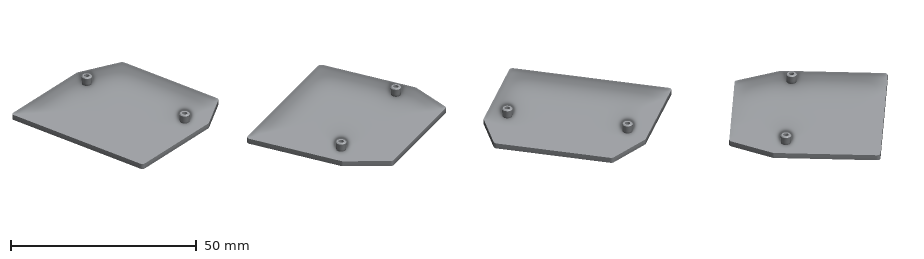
import cadquery as cq
import math

width = 45.0
depth = 41.0
plate_thickness = 1.55
slant_width = 6.08
slant_depth = 12.15
corner_radius = 1.0

total_height = 4.0
peg_height = total_height - plate_thickness
peg_spacing = 33.4
peg_from_rear = 15.3
peg_base_radius = 1.3
peg_top_radius = 1.45
peg_chamfer = 0.22
bore_radius = 0.7
bore_depth = peg_height


def make_plate():
    half_width = width / 2
    half_depth = depth / 2
    outline = [
        (-half_width, -half_depth),
        (half_width, -half_depth),
        (half_width, half_depth - slant_depth),
        (half_width - slant_width, half_depth),
        (-half_width + slant_width, half_depth),
        (-half_width, half_depth - slant_depth),
    ]
    plate = cq.Workplane("XY").polyline(outline).close().extrude(plate_thickness)
    return plate.edges("|Z").fillet(corner_radius)


def make_bore():
    """Revolved bore with a hemispherical bottom, in the peg's own position."""
    bottom = peg_height - bore_depth
    sphere_center = bottom + bore_radius
    arc_offset = bore_radius * math.sqrt(0.5)
    return (
        cq.Workplane("XZ")
        .moveTo(0, peg_height)
        .lineTo(bore_radius, peg_height)
        .lineTo(bore_radius, sphere_center)
        .threePointArc((arc_offset, sphere_center - arc_offset), (0, bottom))
        .close()
        .revolve(360, (0, 0), (0, 1))
    )


def make_peg():
    """Revolved peg standing on the origin, with a chamfered tip and a blind bore."""
    profile = [
        (0, 0),
        (peg_base_radius, 0),
        (peg_top_radius, peg_height - peg_chamfer),
        (peg_top_radius - peg_chamfer, peg_height),
        (0, peg_height),
    ]
    peg = cq.Workplane("XZ").polyline(profile).close().revolve(360, (0, 0), (0, 1))
    return peg.cut(make_bore())


result = make_plate()
peg_y = depth / 2 - peg_from_rear
for peg_x in (-peg_spacing / 2, peg_spacing / 2):
    result = result.union(make_peg().translate((peg_x, peg_y, plate_thickness)))